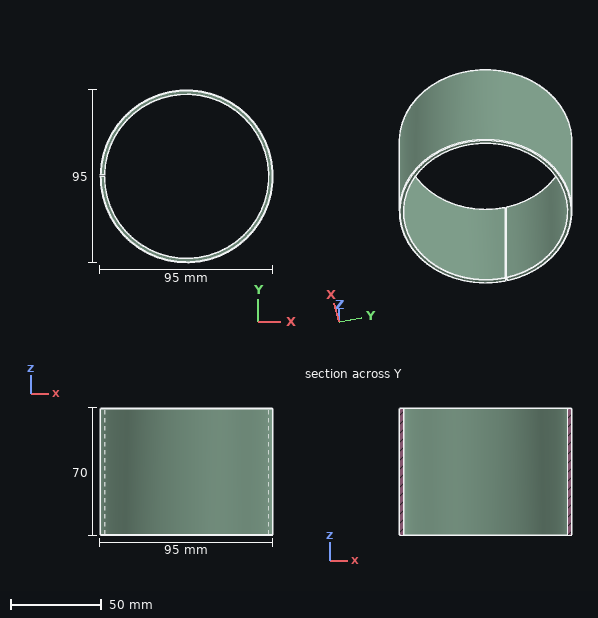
import cadquery as cq

outer_diameter = 95.0
wall_thickness = 2.5
length = 70.0
outer_chamfer = 0.5
inner_chamfer = 0.2
joint_angle = 1.0

full_turn = 360.0
outer_radius = outer_diameter / 2
inner_radius = outer_radius - wall_thickness
half_length = length / 2


def make_wall_section():
    """Wall cross-section on the -X side, with all four corners chamfered."""
    outer_rim_radius = outer_radius - outer_chamfer
    inner_rim_radius = inner_radius + inner_chamfer
    outer_half_length = half_length - outer_chamfer
    inner_half_length = half_length - inner_chamfer
    return (
        cq.Workplane("XZ")
        .moveTo(-inner_rim_radius, -half_length)
        .lineTo(-outer_rim_radius, -half_length)
        .lineTo(-outer_radius, -outer_half_length)
        .lineTo(-outer_radius, outer_half_length)
        .lineTo(-outer_rim_radius, half_length)
        .lineTo(-inner_rim_radius, half_length)
        .lineTo(-inner_radius, inner_half_length)
        .lineTo(-inner_radius, -inner_half_length)
        .close()
    )


result = make_wall_section().revolve(full_turn - joint_angle, (0, 0, 0), (0, 1, 0))